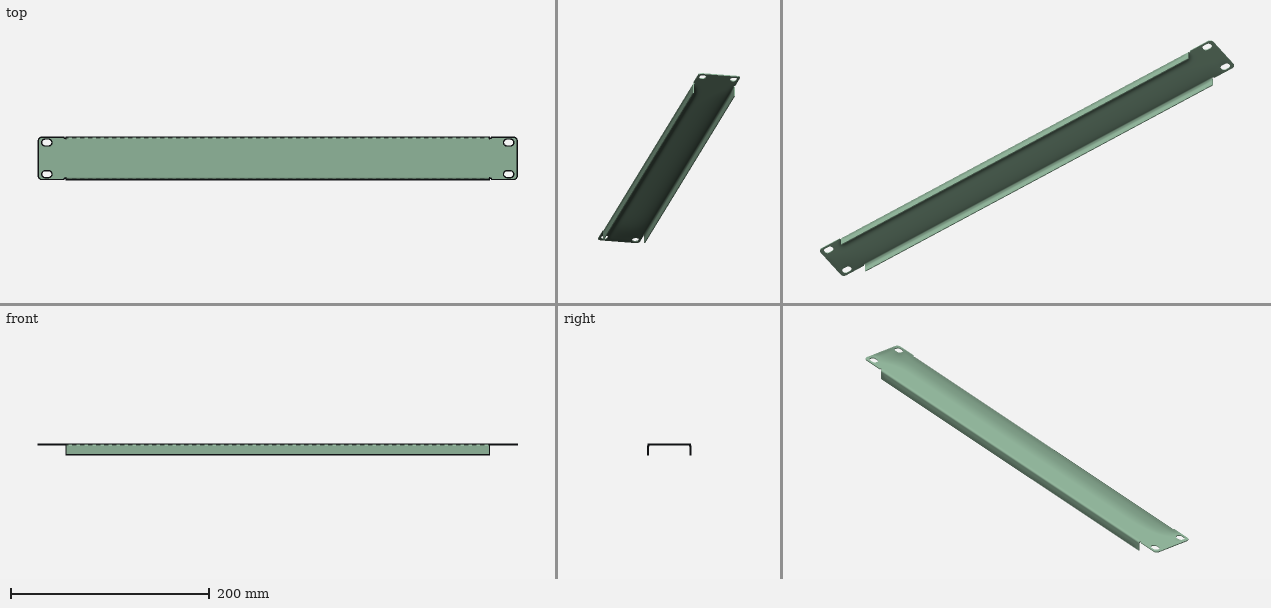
import cadquery as cq

length = 482.5
width = 43.5
height = 11.0
sheet = 1.0

flange_length = 426.5
bend_radius = 2.5
inner_bend_radius = bend_radius - sheet

end_width = 43.0
corner_radius = 4.0
relief_width = 2.0
relief_depth = 1.5

slot_length = 10.0
slot_width = 6.8
slot_spacing_x = 465.0
slot_spacing_y = 32.0


def channel(depth, span, radius):
    """Solid bar with its upper long edges rounded and its top at depth below zero."""
    bar_height = height - depth
    return (
        cq.Workplane("XY")
        .box(flange_length, span, bar_height, centered=(True, True, False))
        .translate((0, 0, -height))
        .edges("|X and >Z")
        .fillet(radius)
    )


def folded_section():
    """Channel made of the flat web, the two bends and the two flanges."""
    outside = channel(0, width, bend_radius)
    inside = channel(sheet, width - 2 * sheet, inner_bend_radius)
    return outside.cut(inside)


def edge_cutters(cut_length, depth):
    """Pair of strips reaching inward by depth from the two long sides."""
    strip_center = (width - depth) / 2
    return (
        cq.Workplane("XY")
        .pushPoints([(0, -strip_center), (0, strip_center)])
        .rect(cut_length, depth)
        .extrude(-sheet)
    )


def flat_plate():
    """Flat face with rounded corners, cleared for the bends and relieved at their ends."""
    plate = (
        cq.Workplane("XY")
        .rect(length, end_width)
        .extrude(-sheet)
        .edges("|Z")
        .fillet(corner_radius)
    )
    edge_strips = edge_cutters(flange_length, bend_radius)
    reliefs = edge_cutters(flange_length + 2 * relief_width, relief_depth)
    return plate.cut(edge_strips).cut(reliefs)


def mounting_slots():
    """Four slots with rounded ends, one near each corner."""
    return (
        cq.Workplane("XY")
        .rarray(slot_spacing_x, slot_spacing_y, 2, 2)
        .slot2D(slot_length, slot_width)
        .extrude(-sheet)
    )


result = flat_plate().union(folded_section()).cut(mounting_slots())